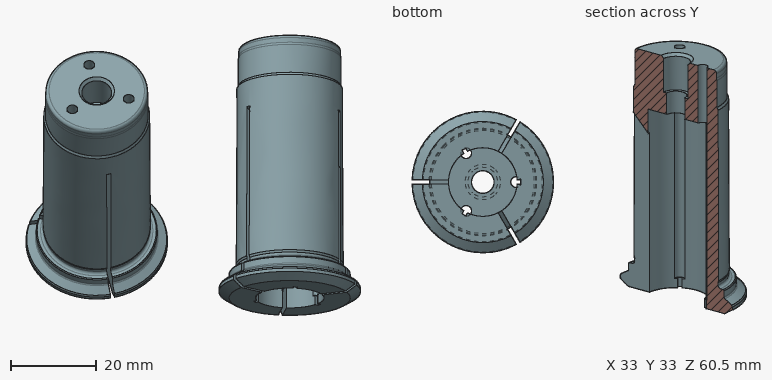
import cadquery as cq
import math

length = 60.5

ring_radius = 23.8 / 2
head_radius = 12.0
top_round = 0.8
ring_bottom_z = 58.55
head_top_z = 58.0

shoulder_top_z = 51.25
shoulder_z = 50.65
body_top_radius = 12.35
body_foot_radius = 12.5
body_foot_z = 8.0

neck_radius = 12.35
neck_top_z = 7.45
neck_round = 0.7

collar_radius = 14.1
collar_top_z = 6.05
collar_chamfer = 0.25
collar_bottom_z = 4.0
collar_root_blend = 0.25
flange_radius = 33.0 / 2
flange_cone_radius = 16.3
flange_cone_z = 2.7
flange_top_z = 2.3
flange_bottom_z = 1.5
foot_radius = 14.1

bore_radius = 8.0
bore_depth = 46.0
through_diameter = 5.2
screw_diameter = 6.9
screw_depth = 9.1
screw_mouth_diameter = 8.2

pin_diameter = 2.5
pin_circle_radius = 15.55 / 2
pin_floor_z = 2.3
relief_reach = 8.8

slot_count = 3
slot_width = 0.95
slot_top_z = 44.2
slot_runout = body_top_radius - bore_radius
first_slot_angle = 180.0
first_pin_angle = 0.0
margin = 0.6


def make_outer_body():
    """Revolve the outer outline of the sleeve about Z."""
    arc_offset = top_round * math.sqrt(0.5)
    neck_arc_offset = neck_round * (1 - math.sqrt(0.5))
    cone_angle = math.atan2(collar_bottom_z - flange_cone_z, flange_cone_radius - collar_radius)
    blend_start = (
        collar_radius + collar_root_blend * math.cos(cone_angle),
        collar_bottom_z - collar_root_blend * math.sin(cone_angle),
    )
    blend_end = (collar_radius, collar_bottom_z + collar_root_blend)
    outline = (
        cq.Workplane("XZ")
        .moveTo(0, 0)
        .lineTo(foot_radius, 0)
        .lineTo(flange_radius, flange_bottom_z)
        .lineTo(flange_radius, flange_top_z)
        .lineTo(flange_cone_radius, flange_cone_z)
        .lineTo(*blend_start)
        .tangentArcPoint(blend_end, relative=False)
        .lineTo(collar_radius, collar_top_z - collar_chamfer)
        .lineTo(collar_radius - collar_chamfer, collar_top_z)
        .lineTo(neck_radius + neck_round, collar_top_z)
        .threePointArc(
            (neck_radius + neck_arc_offset, collar_top_z + neck_arc_offset),
            (neck_radius, collar_top_z + neck_round),
        )
        .lineTo(neck_radius, neck_top_z)
        .lineTo(body_foot_radius, body_foot_z)
        .lineTo(body_top_radius, shoulder_z)
        .lineTo(head_radius, shoulder_top_z)
        .lineTo(head_radius, head_top_z)
        .lineTo(ring_radius, ring_bottom_z)
        .lineTo(ring_radius, length - top_round)
        .threePointArc(
            (ring_radius - top_round + arc_offset, length - top_round + arc_offset),
            (ring_radius - top_round, length),
        )
        .lineTo(0, length)
        .close()
    )
    return outline.revolve(360, (0, 0, 0), (0, 1, 0))


def make_center_bore():
    """Revolve the main bore and the stepped, countersunk screw hole."""
    mouth_radius = screw_mouth_diameter / 2
    screw_radius = screw_diameter / 2
    through_radius = through_diameter / 2
    outline = (
        cq.Workplane("XZ")
        .moveTo(0, 0)
        .lineTo(bore_radius, 0)
        .lineTo(bore_radius, bore_depth)
        .lineTo(through_radius, bore_depth)
        .lineTo(through_radius, length - screw_depth)
        .lineTo(screw_radius, length - screw_depth)
        .lineTo(screw_radius, length - (mouth_radius - screw_radius))
        .lineTo(mouth_radius, length)
        .lineTo(0, length)
        .close()
    )
    return outline.revolve(360, (0, 0, 0), (0, 1, 0))


def make_saw_slot():
    """Radial slot on the +X side, sloping from the bore up to the outside."""
    outer = flange_radius + margin
    return (
        cq.Workplane("XZ")
        .moveTo(0, 0)
        .lineTo(outer, 0)
        .lineTo(outer, slot_top_z + outer - body_top_radius)
        .lineTo(bore_radius, slot_top_z - slot_runout)
        .lineTo(0, slot_top_z - slot_runout)
        .close()
        .extrude(slot_width / 2, both=True)
    )


def make_pin_hole():
    """Small hole on the +X side, with a narrow relief slot below its floor."""
    hole = (
        cq.Workplane("XY", origin=(pin_circle_radius, 0, pin_floor_z))
        .circle(pin_diameter / 2)
        .extrude(length - pin_floor_z)
    )
    relief = cq.Workplane("XY").box(
        relief_reach, slot_width, pin_floor_z, centered=(False, True, False)
    )
    return hole.union(relief)


def cut_around(body, tool, first_angle):
    """Cut equally spaced copies of a tool about the Z axis."""
    for index in range(slot_count):
        angle = first_angle + index * 360.0 / slot_count
        body = body.cut(tool.rotate((0, 0, 0), (0, 0, 1), angle))
    return body


sleeve = make_outer_body().cut(make_center_bore())
sleeve = cut_around(sleeve, make_saw_slot(), first_slot_angle)
result = cut_around(sleeve, make_pin_hole(), first_pin_angle)